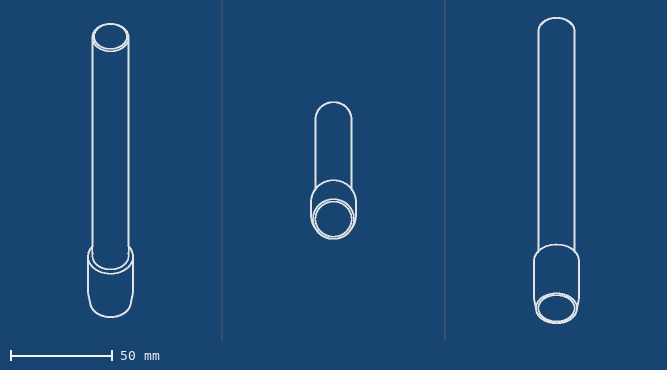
import cadquery as cq

total_length = 200.0

rod_diameter = 17.8
rod_radius = rod_diameter / 2
rod_chamfer = 0.8

sleeve_diameter = 22.2
sleeve_radius = sleeve_diameter / 2
sleeve_foot_diameter = 20.2
sleeve_foot_radius = sleeve_foot_diameter / 2
sleeve_taper_height = 7.5
sleeve_shoulder_height = 34.0
sleeve_top_rise = 0.5
sleeve_top_height = sleeve_shoulder_height + sleeve_top_rise


def revolve_about_z(profile):
    """Revolve a closed outline of (radius, height) points."""
    return cq.Workplane("XZ").polyline(profile).close().revolve(360, (0, 0, 0), (0, 1, 0))


def make_rod():
    """Round rod over the full length, with a chamfered upper end."""
    return revolve_about_z([
        (0, 0),
        (rod_radius, 0),
        (rod_radius, total_length - rod_chamfer),
        (rod_radius - rod_chamfer, total_length),
        (0, total_length),
    ])


def make_sleeve():
    """Sleeve bored to fit the rod, tapered at the foot and slightly conical on top."""
    return revolve_about_z([
        (rod_radius, 0),
        (sleeve_foot_radius, 0),
        (sleeve_radius, sleeve_taper_height),
        (sleeve_radius, sleeve_shoulder_height),
        (rod_radius, sleeve_top_height),
    ])


rod = make_rod()
sleeve = make_sleeve()

result = cq.Compound.makeCompound([rod.val(), sleeve.val()])